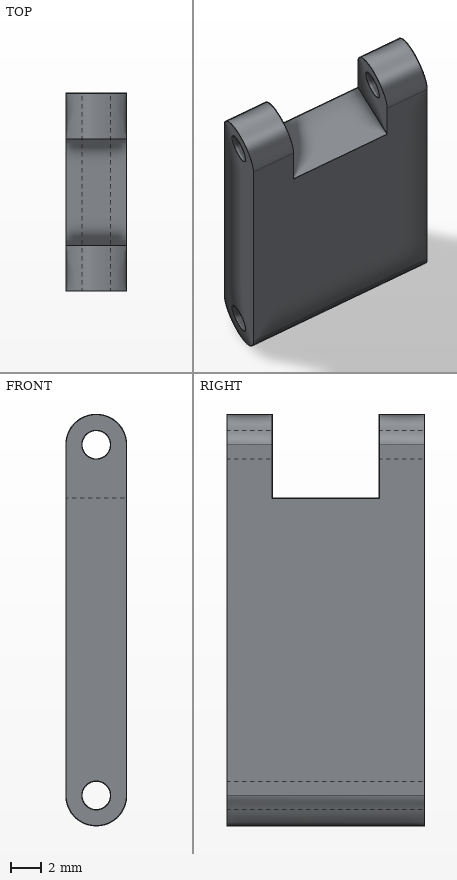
import cadquery as cq

height = 27.0
thickness = 4.0
width = 13.0
hole_diameter = 1.85
lug_width = 3.0
notch_depth = 5.5

hole_spacing = height - thickness
notch_width = width - 2 * lug_width


def link_body():
    """Plate with fully rounded upper and lower ends."""
    return (
        cq.Workplane("XZ")
        .slot2D(height, thickness, 90)
        .extrude(width / 2, both=True)
    )


def pin_holes():
    """Pin holes across the full width, concentric with the rounded ends."""
    return (
        cq.Workplane("XZ")
        .pushPoints([(0, -hole_spacing / 2), (0, hole_spacing / 2)])
        .circle(hole_diameter / 2)
        .extrude(width / 2, both=True)
    )


def lug_notch():
    """Central rectangular opening that separates the two upper lugs."""
    return (
        cq.Workplane("XY")
        .workplane(offset=height / 2 - notch_depth)
        .rect(thickness, notch_width)
        .extrude(notch_depth)
    )


result = link_body().cut(pin_holes()).cut(lug_notch())